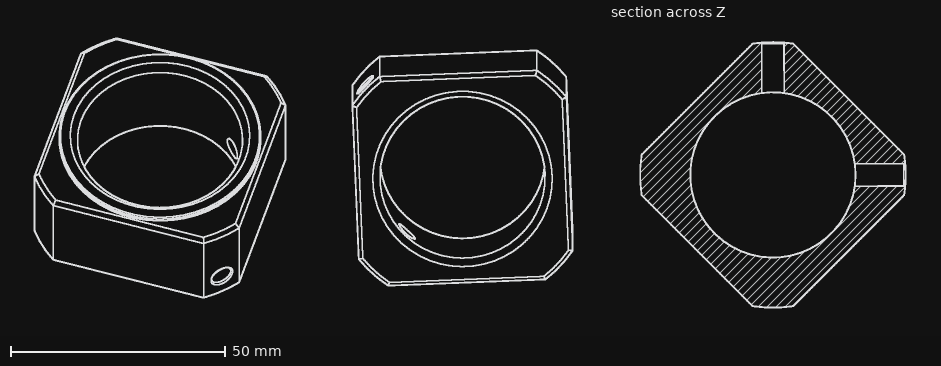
import cadquery as cq

corner_diameter = 61.95
across_flats = 49.95
total_height = 25.0
boss_height = 1.0
body_height = total_height - boss_height
body_chamfer = 1.0

boss_diameter = 47.0
boss_chamfer = 0.3

bore_diameter = 38.5
bore_chamfer = 1.7

radial_hole_diameter = 5.1
radial_hole_height = 7.05
radial_hole_chamfer = 0.45


def make_body():
    square = (
        cq.Workplane("XY")
        .rect(across_flats, across_flats)
        .extrude(body_height)
        .rotate((0, 0, 0), (0, 0, 1), 45)
    )
    cylinder = cq.Workplane("XY").circle(corner_diameter / 2).extrude(body_height)
    return square.intersect(cylinder).faces("<Z or >Z").chamfer(body_chamfer)


def make_boss():
    boss = cq.Workplane("XY").circle(boss_diameter / 2).extrude(total_height)
    return boss.faces(">Z").chamfer(boss_chamfer)


def make_bore():
    radius = bore_diameter / 2
    return (
        cq.Workplane("XZ")
        .moveTo(0, 0)
        .lineTo(radius + bore_chamfer, 0)
        .lineTo(radius, bore_chamfer)
        .lineTo(radius, total_height - bore_chamfer)
        .lineTo(radius + bore_chamfer, total_height)
        .lineTo(0, total_height)
        .close()
        .revolve(360, (0, 0, 0), (0, 1, 0))
    )


def make_radial_hole(angle):
    radius = radial_hole_diameter / 2
    length = corner_diameter / 2
    return (
        cq.Workplane("XY")
        .moveTo(0, 0)
        .lineTo(0, radius)
        .lineTo(length - radial_hole_chamfer, radius)
        .lineTo(length, radius + radial_hole_chamfer)
        .lineTo(length, 0)
        .close()
        .revolve(360, (0, 0, 0), (1, 0, 0))
        .translate((0, 0, radial_hole_height))
        .rotate((0, 0, 0), (0, 0, 1), angle)
    )


result = make_body().union(make_boss()).cut(make_bore())
for hole_angle in (0, 90):
    result = result.cut(make_radial_hole(hole_angle))